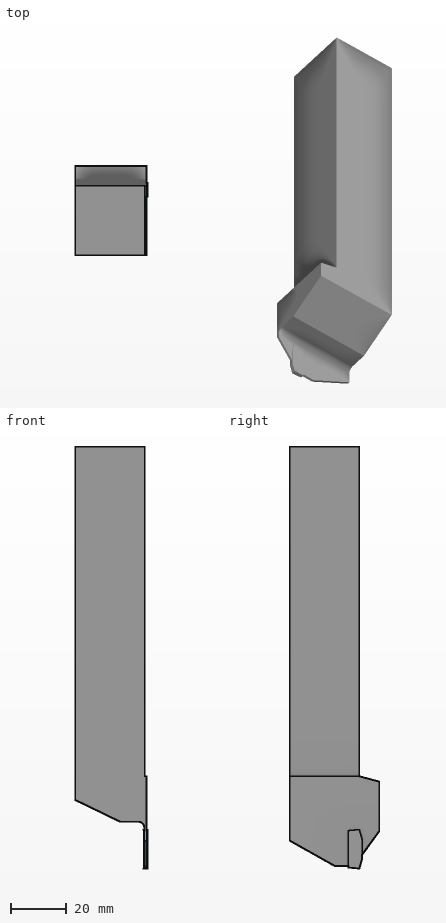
import cadquery as cq
import math

shank_size = 25.0
overall_height = 151.35

head_width = 25.6
head_depth = 32.12
shoulder_height = 33.15
shoulder_angle = 15.0
bevel_top = 24.6
bevel_inner_x = 16.2
head_bottom = 16.75

blade_left = 24.7
blade_root_radius = 1.9
blade_bottom = 0.9
blade_front_top = 13.4
blade_back_top = 10.0
blade_back_y = 16.2
blade_front_y = 23.0

tip_y = shank_size
insert_height = 14.0
insert_back_y = 21.0
insert_crown_y = 26.0
insert_left = 24.65
insert_right = 26.06
crown_half_height = 3.4
relief_angle = 5.0
tip_flare = 0.15
flare_length_y = 2.4
flare_crown_share = 0.8

insert_mid = insert_height / 2
relief_rise = (tip_y - insert_back_y) * math.tan(math.radians(relief_angle))


def insert_blank():
    """Prism of the insert outline, reaching from insert_left to insert_right."""
    outline = [
        (tip_y, 0),
        (insert_crown_y, insert_mid - crown_half_height),
        (insert_crown_y, insert_mid + crown_half_height),
        (tip_y, insert_height),
        (insert_back_y, insert_height - relief_rise),
        (insert_back_y, relief_rise),
    ]
    width = insert_right - insert_left
    return cq.Workplane("YZ", origin=(insert_left, 0, 0)).polyline(outline).close().extrude(width)


def tip_wedge(corner, along_relief, along_rake):
    """Four-faced wedge that flares the -X side of a tip out to a point."""
    base = [cq.Vector(insert_left, y, z) for y, z in (corner, along_relief, along_rake)]
    apex = cq.Vector(insert_left - tip_flare, *corner)
    triangles = [base] + [[base[i], base[(i + 1) % 3], apex] for i in range(3)]
    faces = [cq.Face.makeFromWires(cq.Wire.makePolygon(t, close=True)) for t in triangles]
    return cq.Workplane(cq.Solid.makeSolid(cq.Shell.makeShell(faces)))


def make_insert():
    flare_y = tip_y - flare_length_y
    flare_rise = flare_length_y * math.tan(math.radians(relief_angle))
    crown_offset = flare_crown_share * (insert_crown_y - tip_y)
    crown_rise = flare_crown_share * (insert_mid - crown_half_height)
    lower = tip_wedge((tip_y, 0), (flare_y, flare_rise), (tip_y + crown_offset, crown_rise))
    upper = lower.mirror("XY", (0, 0, insert_mid))
    return insert_blank().union(lower).union(upper)


def make_holder():
    shank = (
        cq.Workplane("XY", origin=(0, 0, shoulder_height))
        .rect(shank_size, shank_size, centered=False)
        .extrude(overall_height - shoulder_height)
    )

    front = (
        cq.Workplane("XZ")
        .moveTo(0, shoulder_height)
        .lineTo(0, bevel_top)
        .lineTo(bevel_inner_x, head_bottom)
        .lineTo(blade_left - blade_root_radius, head_bottom)
        .radiusArc((blade_left, head_bottom - blade_root_radius), blade_root_radius)
        .lineTo(blade_left, 0)
        .lineTo(head_width, 0)
        .lineTo(head_width, shoulder_height)
        .close()
        .extrude(-head_depth)
    )

    shoulder_drop = (head_depth - shank_size) * math.tan(math.radians(shoulder_angle))
    side = (
        cq.Workplane("YZ")
        .polyline([
            (0, shoulder_height),
            (shank_size, shoulder_height),
            (head_depth, shoulder_height - shoulder_drop),
            (head_depth, blade_front_top),
            (blade_front_y, blade_bottom),
            (blade_back_y, blade_bottom),
            (0, blade_back_top),
        ])
        .close()
        .extrude(head_width)
    )
    return shank.union(front.intersect(side))


insert = make_insert()
holder = make_holder().cut(insert_blank())
result = cq.Compound.makeCompound([holder.val(), insert.val()])